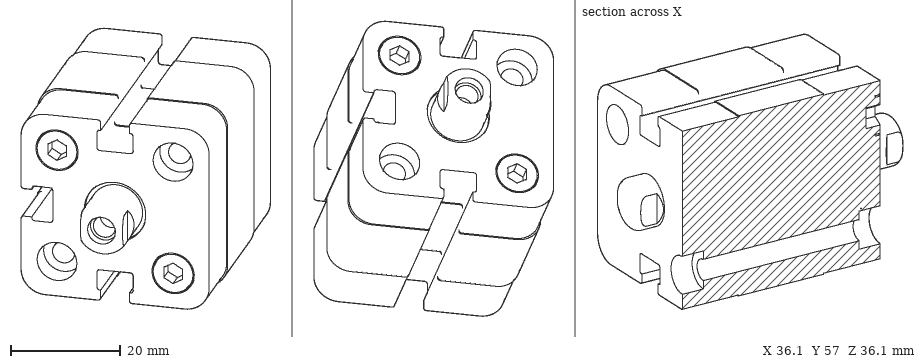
import cadquery as cq


overall_length = 57.0
front_rod_length = 9.45
back_rod_length = 4.55
cap_length = 12.25
barrel_side = 36.1
cap_side = 35.7
cap_corner_radius = 4.6
barrel_corner_radius = 4.45

slot_mouth_width = 5.4
slot_width = 6.85
slot_lip_plane = 15.8
slot_floor_plane = 11.8
slot_edge_radius = 0.55

corner_offset = 11.0
through_diameter = 4.15
counterbore_diameter = 7.5
counterbore_depth = 4.55
screw_recess_diameter = 8.0
screw_head_diameter = 7.5
screw_gap_depth = 1.0
hex_corner_diameter = 4.05
hex_depth = 3.0

rod_diameter = 10.0
rod_tip_radius = 1.3
rod_recess_diameter = 11.6
rod_recess_depth = 0.9
flat_width = 8.0
flat_length = 3.55
flat_runout = 0.8
rod_bore_diameter = 5.25
rod_bore_depth = 2.0
rod_hole_diameter = 4.15
rod_hole_depth = 6.85
rod_hole_cone_depth = 1.2

front_tip_y = -overall_length / 2
back_tip_y = overall_length / 2
front_face_y = front_tip_y + front_rod_length
back_face_y = back_tip_y - back_rod_length
barrel_length = back_face_y - front_face_y - 2 * cap_length


def slot_cutter(side, floor_plane, y, length):
    """T-slot cutter with rounded mouth edges, opening through the +Z side of a section."""
    outer = side / 2
    mouth_half = slot_mouth_width / 2
    flare_half = mouth_half + slot_edge_radius
    mouth = (
        cq.Workplane("XZ", origin=(0, y, 0))
        .moveTo(-mouth_half, floor_plane)
        .lineTo(-mouth_half, outer - slot_edge_radius)
        .radiusArc((-flare_half, outer), -slot_edge_radius)
        .lineTo(flare_half, outer)
        .radiusArc((mouth_half, outer - slot_edge_radius), -slot_edge_radius)
        .lineTo(mouth_half, floor_plane)
        .close()
        .extrude(-length)
    )
    chamber = (
        cq.Workplane("XY")
        .box(slot_width, length, slot_lip_plane - floor_plane, centered=(True, False, False))
        .edges("|Y")
        .fillet(slot_edge_radius)
        .translate((0, y, floor_plane))
    )
    return mouth.union(chamber)


def body_section(side, corner_radius, floor_plane, y, length):
    """Rounded square block with T-slots in the top, bottom and -X faces."""
    block = (
        cq.Workplane("XY")
        .box(side, length, side, centered=(True, False, True))
        .edges("|Y")
        .fillet(corner_radius)
        .translate((0, y, 0))
    )
    cutter = slot_cutter(side, floor_plane, y, length)
    for angle in (0, 180, -90):
        block = block.cut(cutter.rotate((0, 0, 0), (0, 1, 0), angle))
    return block


def cylinder(diameter, y, length, x=0.0, z=0.0):
    """Cylinder along Y that starts at y and runs toward +Y."""
    return cq.Workplane("XZ", origin=(x, y, z)).circle(diameter / 2).extrude(-length)


def cut_mounting_hole(part, x, z):
    """Through hole counterbored from both faces."""
    body_length = back_face_y - front_face_y
    part = part.cut(cylinder(through_diameter, front_face_y, body_length, x, z))
    for y in (front_face_y, back_face_y - counterbore_depth):
        part = part.cut(cylinder(counterbore_diameter, y, counterbore_depth, x, z))
    return part


def cut_screw_head(part, x, z):
    """Flush socket-head screw: a ring gap around the head and a hexagon socket."""
    recess = cylinder(screw_recess_diameter, front_face_y, screw_gap_depth, x, z)
    head = cylinder(screw_head_diameter, front_face_y, screw_gap_depth, x, z)
    socket = (
        cq.Workplane("XZ", origin=(x, front_face_y, z))
        .transformed(rotate=(0, 0, 90))
        .polygon(6, hex_corner_diameter)
        .extrude(-hex_depth)
    )
    return part.cut(recess.cut(head)).cut(socket)


def flat_cutter():
    """Cutter for the front wrench flat on the +X side, with a sloping run-out."""
    rod_radius = rod_diameter / 2
    flat_half = flat_width / 2
    flat_end_y = front_tip_y + flat_length
    return (
        cq.Workplane("XY", origin=(0, 0, -rod_radius))
        .moveTo(flat_half, front_tip_y)
        .lineTo(flat_half, flat_end_y)
        .lineTo(rod_radius, flat_end_y + flat_runout)
        .lineTo(rod_radius, front_tip_y)
        .close()
        .extrude(rod_diameter)
    )


def piston_rod():
    """Rod through the whole body, with rounded tips and a pair of wrench flats at each end."""
    rod = cylinder(rod_diameter, front_tip_y, overall_length)
    rod = rod.faces("<Y or >Y").edges().fillet(rod_tip_radius)
    front_flats = flat_cutter().union(flat_cutter().mirror("YZ"))
    return rod.cut(front_flats).cut(front_flats.mirror("XZ"))


def rod_hole():
    """Stepped blind hole in the front rod tip, ending in a cone."""
    hole_radius = rod_hole_diameter / 2
    bore_radius = rod_bore_diameter / 2
    bore_end_y = front_tip_y + rod_bore_depth
    hole_end_y = front_tip_y + rod_hole_depth
    return (
        cq.Workplane("XY")
        .moveTo(0, front_tip_y)
        .lineTo(bore_radius, front_tip_y)
        .lineTo(bore_radius, bore_end_y)
        .lineTo(hole_radius, bore_end_y)
        .lineTo(hole_radius, hole_end_y)
        .lineTo(0, hole_end_y + rod_hole_cone_depth)
        .close()
        .revolve(360, (0, 0, 0), (0, 1, 0))
    )


barrel_step = (barrel_side - cap_side) / 2
barrel_y = front_face_y + cap_length
back_cap_y = barrel_y + barrel_length

front_cap = body_section(cap_side, cap_corner_radius, slot_floor_plane, front_face_y, cap_length)
barrel = body_section(
    barrel_side, barrel_corner_radius, slot_floor_plane + barrel_step, barrel_y, barrel_length
)
back_cap = body_section(cap_side, cap_corner_radius, slot_floor_plane, back_cap_y, cap_length)
body = front_cap.union(barrel).union(back_cap)

body = body.cut(cylinder(rod_recess_diameter, front_face_y, rod_recess_depth))
for sign in (1, -1):
    body = cut_mounting_hole(body, sign * corner_offset, sign * corner_offset)
    body = cut_screw_head(body, sign * corner_offset, -sign * corner_offset)

result = body.union(piston_rod()).cut(rod_hole())